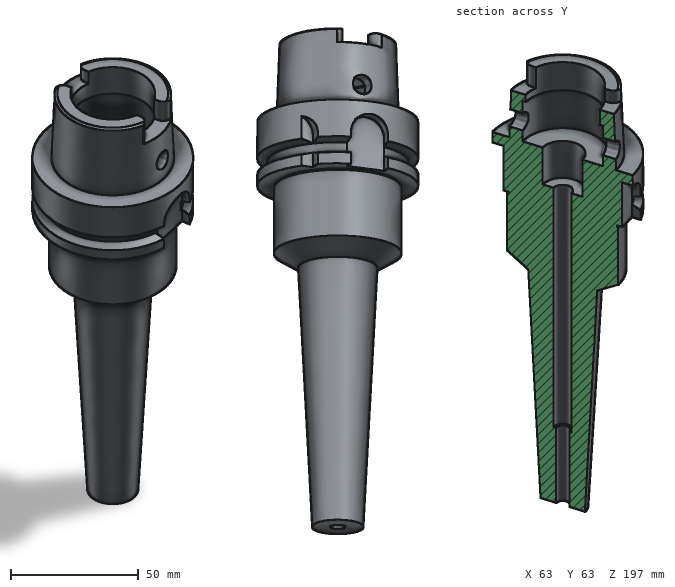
import cadquery as cq

total_length = 197.0
shank_length = 32.0
flange_height = 26.0
flange_top = total_length - shank_length
flange_bottom = flange_top - flange_height
nose_top = 105.5
shoulder_height = 6.0
body_bottom = nose_top + shoulder_height

flange_radius = 31.5
groove_radius = 27.8
body_radius = 25.0
nose_top_radius = 15.5
nose_tip_radius = 10.0
shank_base_radius = 24.0
shank_end_radius = 22.9
rim_chamfer_width = 1.2
rim_chamfer_height = 0.5
body_chamfer = 0.8

groove_start = 15.0
groove_floor_start = 16.4
groove_floor_end = 20.0
groove_end = 21.5

mouth_radius = 16.5
mouth_depth = 13.2
undercut_radius = 18.0
undercut_depth = shank_length
coolant_radius = 8.9
coolant_depth = 49.2
channel_radius = 4.0
tool_bore_radius = 3.0
tool_bore_length = 35.5

notch_width = 12.0
notch_corner_radius = 3.5
near_notch_depth = 6.0
far_notch_depth = 9.7

cross_hole_radius = 4.0
cross_hole_depth = 22.9

slot_top_offset = 5.1
slot_floor = 26.5
slot_overrun = 2.0
near_slot_width = 16.0
far_slot_width = 18.0
side_slot_floor = 19.9
side_slot_center = 27.5


def outer_body():
    """Revolve the full outer profile about Z."""
    profile = [
        (0, 0),
        (nose_tip_radius, 0),
        (nose_top_radius, nose_top),
        (body_radius, body_bottom),
        (body_radius, flange_bottom - body_chamfer),
        (body_radius - body_chamfer, flange_bottom),
        (flange_radius, flange_bottom),
        (flange_radius, flange_top - groove_end),
        (groove_radius, flange_top - groove_floor_end),
        (groove_radius, flange_top - groove_floor_start),
        (flange_radius, flange_top - groove_start),
        (flange_radius, flange_top),
        (shank_base_radius, flange_top),
        (shank_end_radius, total_length - rim_chamfer_height),
        (shank_end_radius - rim_chamfer_width, total_length),
        (0, total_length),
    ]
    return cq.Workplane("XZ").polyline(profile).close().revolve(360, (0, 0), (0, 1))


def stepped_bore():
    """Cavity running from the shank rim through to the nose tip."""
    steps = [
        (mouth_radius, total_length - mouth_depth, total_length),
        (undercut_radius, total_length - undercut_depth, total_length - mouth_depth),
        (coolant_radius, total_length - coolant_depth, total_length - undercut_depth),
        (channel_radius, tool_bore_length, total_length - coolant_depth),
        (tool_bore_radius, 0, tool_bore_length),
    ]
    cavity = cq.Workplane("XY")
    for radius, bottom, top in steps:
        cavity = cavity.union(cq.Workplane("XY", origin=(0, 0, bottom)).circle(radius).extrude(top - bottom))
    return cavity


def drive_notch(side, depth):
    """Rim notch on the given X side (-1 or 1), with corners flaring outwards."""
    half_width = notch_width / 2
    flare_half_width = half_width + notch_corner_radius
    flare_end = (shank_end_radius**2 - flare_half_width**2) ** 0.5
    flare_start = flare_end - notch_corner_radius
    bend = notch_corner_radius * 0.5**0.5
    bend_x = flare_start + bend
    bend_y = flare_half_width - bend
    return (
        cq.Workplane("XY", origin=(0, 0, total_length - depth))
        .moveTo(0, -half_width)
        .lineTo(side * flare_start, -half_width)
        .threePointArc((side * bend_x, -bend_y), (side * flare_end, -flare_half_width))
        .lineTo(side * flange_radius, -flare_half_width)
        .lineTo(side * flange_radius, flare_half_width)
        .lineTo(side * flare_end, flare_half_width)
        .threePointArc((side * bend_x, bend_y), (side * flare_start, half_width))
        .lineTo(0, half_width)
        .close()
        .extrude(depth)
    )


def cross_hole():
    """Radial hole along X through both shank walls."""
    return (
        cq.Workplane("YZ", origin=(-flange_radius, 0, total_length - cross_hole_depth))
        .circle(cross_hole_radius)
        .extrude(2 * flange_radius)
    )


def flange_slot(side, width, floor, center_y=0):
    """Round-topped slot milled along X down to a flat floor at x = side * floor."""
    radius = width / 2
    apex = flange_top - slot_top_offset
    return (
        cq.Workplane("YZ", origin=(side * floor, center_y, 0))
        .moveTo(-radius, flange_bottom)
        .lineTo(-radius, apex - radius)
        .threePointArc((0, apex), (radius, apex - radius))
        .lineTo(radius, flange_bottom)
        .close()
        .extrude(side * (flange_radius - floor + slot_overrun))
    )


result = (
    outer_body()
    .cut(stepped_bore())
    .cut(drive_notch(-1, near_notch_depth))
    .cut(drive_notch(1, far_notch_depth))
    .cut(cross_hole())
    .cut(flange_slot(-1, near_slot_width, slot_floor))
    .cut(flange_slot(1, far_slot_width, slot_floor))
    .cut(flange_slot(-1, near_slot_width, side_slot_floor, side_slot_center))
)